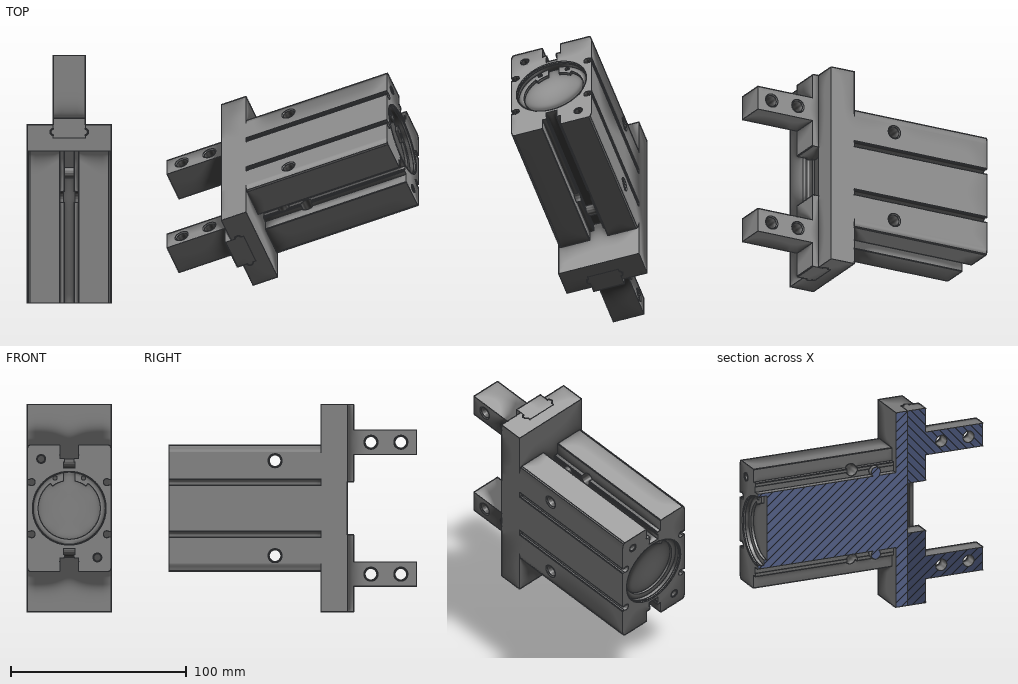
import cadquery as cq
import math


total_length = 140.9
body_length = 86.4
flange_thickness = 15.1
flange_end = body_length + flange_thickness

width = 48.0
body_height = 72.0
flange_height = 118.0
half_width = width / 2
half_height = body_height / 2

corner_inset = 0.85
corner_top_drop = 0.45
corner_arc_bottom = 4.3
bevel_inset = 1.75

slot_width = 10.7
slot_floor = 28.3
neck_width = 5.5
undercut_width = 6.4
undercut_top = 26.2
undercut_floor = 22.8
slot_edge_chamfer = 0.3
neck_edge_chamfer = 0.35

groove_height = 14.8
groove_mouth = 3.1
groove_edge_chamfer = 0.3
groove_diameter = 4.0
groove_centre_depth = 2.65

bore_diameter = 41.0
bore_chamfer = 0.5
bore_depth = 5.6
ring_seat_diameter = 41.4
ring_seat_start = 1.7
ring_thickness = 1.6
ring_inner_diameter = 35.4
ring_ear_radius = 15.8
ring_ear_end_angle = 52.7
ring_gap = 6.3
ring_hole_diameter = 2.5
ring_hole_x = 8.1
ring_hole_z = 17.2

end_hole_diameter = 4.13
end_hole_mouth = 5.0
end_hole_depth = 12.0
end_hole_x = 16.0
end_hole_z = 28.0

cross_hole_diameter = 6.65
cross_hole_mouth = 8.0
cross_hole_y = 60.4
cross_hole_z = 27.0
pin_diameter = 6.0
pin_y = 74.0
pin_z = 25.0

slide_width = 18.3
slide_length = 44.0
slide_floor = 93.8
slide_top = 105.25
slide_end_chamfer = 0.4
rail_y = 97.3
rail_inset = 0.4
rail_radius = 1.7
rail_groove_radius = 2.1
bar_thickness = 14.0
bar_z = 37.5
finger_hole_from_tip = 9.0
finger_hole_spacing = 17.0


def block(size_x, y_start, y_end, size_z, centre_z=0.0):
    """Box centred on X = 0 that spans y_start to y_end."""
    box = cq.Workplane("XY").box(size_x, y_end - y_start, size_z)
    return box.translate((0, (y_start + y_end) / 2, centre_z))


def rod_x(diameter, y, z, length=width):
    """Cylinder along X, centred on X = 0."""
    rod = cq.Workplane("YZ").circle(diameter / 2).extrude(length)
    return rod.translate((-length / 2, y, z))


def rod_y(diameter, x, z, y_start, y_end):
    """Cylinder along Y."""
    rod = cq.Workplane("XZ").circle(diameter / 2).extrude(y_start - y_end)
    return rod.translate((x, y_start, z))


def rod_z(radius, x, y, length, centre_z=0.0):
    """Cylinder along Z."""
    rod = cq.Workplane("XY").circle(radius).extrude(length / 2, both=True)
    return rod.translate((x, y, centre_z))


def countersunk_x(y, z, length):
    """Tool for a through hole along X with a chamfered mouth at each end."""
    mouth_radius = cross_hole_mouth / 2
    chamfer = (cross_hole_mouth - cross_hole_diameter) / 2
    tool = rod_x(cross_hole_diameter, y, z, length)
    for side in (-1, 1):
        cone = cq.Solid.makeCone(
            mouth_radius, mouth_radius - chamfer, chamfer,
            cq.Vector(side * length / 2, y, z), cq.Vector(-side, 0, 0),
        )
        tool = tool.union(cq.Workplane(cone))
    return tool


def countersunk_y(diameter, mouth, x, z, depth):
    """Tool for a blind hole into the Y = 0 face with a chamfered mouth."""
    chamfer = (mouth - diameter) / 2
    cone = cq.Solid.makeCone(
        mouth / 2, diameter / 2, chamfer, cq.Vector(x, 0, z), cq.Vector(0, 1, 0),
    )
    return rod_y(diameter, x, z, 0, depth).union(cq.Workplane(cone))


def body_quarter():
    """Quarter of the body section in +X +Z, extruded over the body length."""
    arc_start_z = half_height - corner_arc_bottom
    arc_end_z = half_height - corner_top_drop
    return (
        cq.Workplane("XZ")
        .lineTo(half_width, 0)
        .lineTo(half_width, arc_start_z)
        .tangentArcPoint((half_width - corner_inset, arc_end_z), relative=False)
        .lineTo(half_width - bevel_inset, half_height)
        .lineTo(0, half_height)
        .close()
        .extrude(-body_length)
    )


def body_blank():
    upper_right = body_quarter()
    upper = upper_right.union(upper_right.mirror("YZ"))
    return upper.union(upper.mirror("XY"))


def chamfered_channel(channel_width, floor_z, top_z, chamfer):
    """Tool for a channel along the whole body with chamfered top edges."""
    half_channel = channel_width / 2
    return (
        cq.Workplane("XZ")
        .polyline([
            (-half_channel, floor_z),
            (half_channel, floor_z),
            (half_channel, top_z - chamfer),
            (half_channel + chamfer, top_z),
            (-half_channel - chamfer, top_z),
            (-half_channel, top_z - chamfer),
        ])
        .close()
        .extrude(-body_length)
    )


def t_slot():
    """Tool for the upper T-slot: wide mouth, narrow neck and undercut."""
    mouth = chamfered_channel(slot_width, slot_floor, half_height, slot_edge_chamfer)
    neck = chamfered_channel(neck_width, undercut_floor, slot_floor, neck_edge_chamfer)
    undercut_depth = undercut_top - undercut_floor
    undercut = block(undercut_width, 0, body_length, undercut_depth, undercut_top - undercut_depth / 2)
    return mouth.union(neck).union(undercut)


def sensor_groove(side, z):
    """Tool for one side groove: round channel with a narrower, chamfered mouth."""
    channel_x = side * (half_width - groove_centre_depth)
    channel = rod_y(groove_diameter, channel_x, z, 0, body_length)
    mouth = chamfered_channel(
        groove_mouth, half_width - groove_centre_depth, half_width, groove_edge_chamfer,
    )
    mouth = mouth.rotate((0, 0, 0), (0, 1, 0), side * 90).translate((0, 0, z))
    return channel.union(mouth)


def retaining_ring():
    """Open ring with two eared ends at the top, seated on the bore bottom."""
    ring_front = bore_depth - ring_thickness
    ring = rod_y(ring_seat_diameter, 0, 0, ring_front, bore_depth)

    ear_end_angle = math.radians(ring_ear_end_angle)
    sector_x = ring_seat_diameter * math.cos(ear_end_angle)
    sector_z = ring_seat_diameter * math.sin(ear_end_angle)
    ear_sector = (
        cq.Workplane("XZ")
        .polyline([(0, 0), (sector_x, sector_z), (-sector_x, sector_z)])
        .close()
        .extrude(-bore_depth)
    )
    opening = rod_y(ring_inner_diameter, 0, 0, ring_front, bore_depth).cut(ear_sector)
    ear_opening = rod_y(2 * ring_ear_radius, 0, 0, ring_front, bore_depth)
    gap = block(ring_gap, ring_front, bore_depth, ring_seat_diameter / 2, ring_seat_diameter / 4)
    ring = ring.cut(opening).cut(ear_opening).cut(gap)
    for side in (-1, 1):
        ring = ring.cut(rod_y(ring_hole_diameter, side * ring_hole_x, ring_hole_z, ring_front, bore_depth))
    return ring


def slide_way():
    """Tool for the guide along Z in the flange, with a round groove in each wall."""
    way = block(slide_width, slide_floor, flange_end, flange_height)
    for side in (-1, 1):
        groove_x = side * (slide_width / 2 - rail_inset)
        way = way.union(rod_z(rail_groove_radius, groove_x, rail_y, flange_height))
    return way


def make_housing():
    flange = block(width, body_length, flange_end, flange_height)
    housing = body_blank().union(flange).cut(slide_way())

    upper_slot = t_slot()
    housing = housing.cut(upper_slot).cut(upper_slot.mirror("XY"))
    for side in (-1, 1):
        for z in (-groove_height, groove_height):
            housing = housing.cut(sensor_groove(side, z))

    bore_mouth = bore_diameter + 2 * bore_chamfer
    housing = housing.cut(countersunk_y(bore_diameter, bore_mouth, 0, 0, bore_depth))
    housing = housing.cut(rod_y(ring_seat_diameter, 0, 0, ring_seat_start, bore_depth))
    housing = housing.union(retaining_ring())

    for side in (-1, 1):
        end_hole = countersunk_y(
            end_hole_diameter, end_hole_mouth, side * end_hole_x, -side * end_hole_z, end_hole_depth,
        )
        housing = housing.cut(end_hole)

    for side in (-1, 1):
        housing = housing.cut(countersunk_x(cross_hole_y, side * cross_hole_z, width))

    for side in (-1, 1):
        housing = housing.union(rod_x(pin_diameter, pin_y, side * pin_z), clean=False)
    return housing


def make_finger(side):
    """Finger on the upper (side = 1) or lower (side = -1) half of the guide."""
    gap_to_centre = flange_height / 2 - slide_length
    slide_z = gap_to_centre + slide_length / 2
    slide = block(slide_width, slide_floor, slide_top, slide_length, slide_z)
    slide = slide.faces(">Y").edges("|X").chamfer(slide_end_chamfer)
    for rail_side in (-1, 1):
        rail_x = rail_side * (slide_width / 2 - rail_inset)
        slide = slide.union(rod_z(rail_radius, rail_x, rail_y, slide_length, slide_z))

    finger = slide.union(block(slide_width, slide_floor, total_length, bar_thickness, bar_z))
    outer_hole_y = total_length - finger_hole_from_tip
    for hole_y in (outer_hole_y, outer_hole_y - finger_hole_spacing):
        finger = finger.cut(countersunk_x(hole_y, bar_z, slide_width))
    if side < 0:
        finger = finger.mirror("XY")
    return finger


housing = make_housing()
fingers = [make_finger(side) for side in (1, -1)]

result = cq.Compound.makeCompound([housing.solids().val(), *[finger.solids().val() for finger in fingers]])